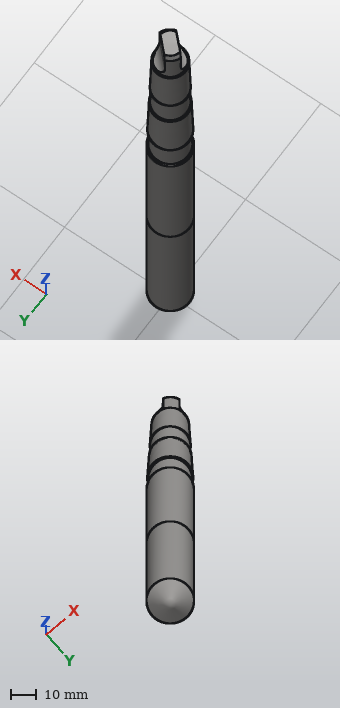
import cadquery as cq
import math

total_length = 233.0
body_diameter = 18.5
point_angle = 118.0
joint_height = 74.0
body_top = 138.9

taper_per_length = 0.05
lower_relief_diameter = 17.0
lower_relief_top = 152.4
upper_relief_diameter = 15.5
upper_relief_bottom = 178.5
upper_relief_top = 192.0
taper_top = 216.0
taper_top_diameter = 14.7
relief_chamfer_height = 0.7
upper_shoulder_height = 0.5

tang_diameter = 13.5
tang_thickness = 6.3
tang_runout_radius = 6.0
tang_chamfer_width = 1.5
tang_chamfer_height = 1.9
tang_dome_rise = 0.5
flat_direction = 45.0

body_radius = body_diameter / 2
point_height = body_radius / math.tan(math.radians(point_angle / 2))


def taper_radius(height):
    """Radius of the shank's cone at a given height."""
    return (taper_top_diameter + taper_per_length * (taper_top - height)) / 2


def make_cutting_part():
    """Plain cylinder with a conical point."""
    return (
        cq.Workplane("XZ")
        .moveTo(0, 0)
        .lineTo(body_radius, point_height)
        .lineTo(body_radius, joint_height)
        .lineTo(0, joint_height)
        .close()
        .revolve(360, (0, 0, 0), (0, 1, 0))
    )


def make_turned_shank():
    """Body end, tapered shank with its reliefs, and the round tang blank."""
    lower_relief_radius = lower_relief_diameter / 2
    upper_relief_radius = upper_relief_diameter / 2
    lower_cone_start = lower_relief_top + relief_chamfer_height
    lower_cone_end = upper_relief_bottom - upper_shoulder_height
    tang_radius = tang_diameter / 2
    dome_edge_radius = tang_radius - tang_chamfer_width
    dome_edge_height = total_length - tang_dome_rise
    dome_radius = (dome_edge_radius**2 + tang_dome_rise**2) / (2 * tang_dome_rise)
    return (
        cq.Workplane("XZ")
        .moveTo(0, joint_height)
        .lineTo(body_radius, joint_height)
        .lineTo(body_radius, body_top)
        .lineTo(lower_relief_radius, body_top + relief_chamfer_height)
        .lineTo(lower_relief_radius, lower_relief_top)
        .lineTo(taper_radius(lower_cone_start), lower_cone_start)
        .lineTo(taper_radius(lower_cone_end), lower_cone_end)
        .lineTo(upper_relief_radius, upper_relief_bottom)
        .lineTo(upper_relief_radius, upper_relief_top)
        .lineTo(taper_radius(upper_relief_top), upper_relief_top)
        .lineTo(taper_radius(taper_top), taper_top)
        .lineTo(tang_radius, taper_top)
        .lineTo(tang_radius, dome_edge_height - tang_chamfer_height)
        .lineTo(dome_edge_radius, dome_edge_height)
        .radiusArc((0, total_length), -dome_radius)
        .close()
        .revolve(360, (0, 0, 0), (0, 1, 0))
    )


def make_tang_flat_cutter():
    """Material removed beside one tang flat, with a rounded run-out at its foot."""
    flat_offset = tang_thickness / 2
    flat_bottom = taper_top + tang_runout_radius
    return (
        cq.Workplane("XZ")
        .moveTo(flat_offset, total_length)
        .lineTo(flat_offset, flat_bottom)
        .radiusArc((flat_offset + tang_runout_radius, taper_top), -tang_runout_radius)
        .lineTo(body_diameter, taper_top)
        .lineTo(body_diameter, total_length)
        .close()
        .extrude(body_radius, both=True)
    )


def make_shank():
    shank = make_turned_shank()
    for turn in (0, 180):
        cutter = make_tang_flat_cutter().rotate((0, 0, 0), (0, 0, 1), flat_direction + turn)
        shank = shank.cut(cutter)
    return shank


cutting_part = make_cutting_part()
shank = make_shank()

result = cq.Compound.makeCompound([cutting_part.val(), shank.val()])